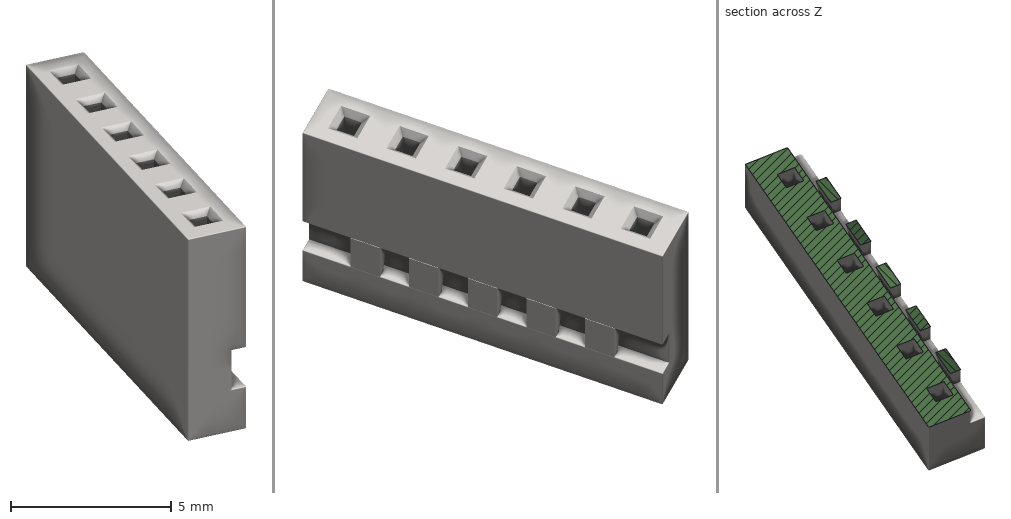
import cadquery as cq

contact_count = 6
pitch = 2.0
end_margin = 0.3
length = contact_count * pitch + end_margin
depth = 2.0
height = 7.2
half_depth = depth / 2
edge_radius = 0.03

passage_width = 0.6
lead_in_width = 1.0
lead_in_depth = (lead_in_width - passage_width) / 2

groove_bottom = 1.5
groove_top = 2.9
groove_depth = 0.5
groove_height = groove_top - groove_bottom
groove_floor = half_depth - groove_depth

wedge_count = contact_count - 1
wedge_width = 1.0
wedge_tip_thickness = 0.25
wedge_root_height = 0.25


def row_positions(count):
    """X places of a centred row at the contact pitch."""
    return [(i - (count - 1) / 2) * pitch for i in range(count)]


def make_passage(x):
    """Through passage with its tapered lead-in, as one cutting shape."""
    passage = (
        cq.Workplane("XY")
        .center(x, 0)
        .rect(passage_width, passage_width)
        .extrude(height)
    )
    lead_in = (
        cq.Workplane("XY", origin=(x, 0, height - lead_in_depth))
        .rect(passage_width, passage_width)
        .workplane(offset=lead_in_depth)
        .rect(lead_in_width, lead_in_width)
        .loft(ruled=True)
    )
    return passage.union(lead_in)


def make_housing():
    """Block with rounded edges, the rear groove and the row of contact passages."""
    body = cq.Workplane("XY").box(length, depth, height, centered=(True, True, False))
    groove = (
        cq.Workplane("XY", origin=(0, groove_floor, groove_bottom))
        .box(length, groove_depth, groove_height, centered=(True, False, False))
    )
    body = body.cut(groove)
    body = body.faces("<X or >X or <Y or >Y").edges().fillet(edge_radius)
    for x in row_positions(contact_count):
        body = body.cut(make_passage(x))
    return body


def make_wedge(x):
    """Wedge filling the groove depth at its root and thinning toward its bottom."""
    return (
        cq.Workplane("YZ", origin=(x - wedge_width / 2, 0, 0))
        .moveTo(half_depth, groove_bottom)
        .lineTo(half_depth, groove_top)
        .lineTo(groove_floor, groove_top)
        .lineTo(groove_floor, groove_top - wedge_root_height)
        .lineTo(half_depth - wedge_tip_thickness, groove_bottom)
        .close()
        .extrude(wedge_width)
    )


housing = make_housing()
wedges = [make_wedge(x) for x in row_positions(wedge_count)]

result = cq.Compound.makeCompound([housing.val(), *[wedge.val() for wedge in wedges]])